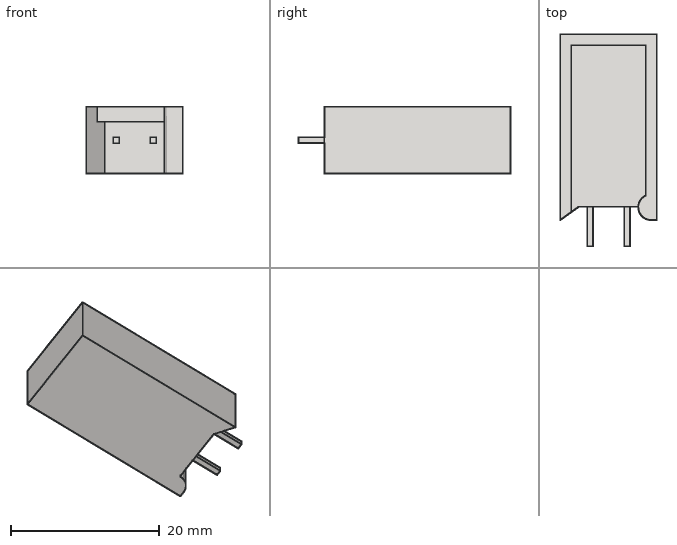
import cadquery as cq

total_length = 28.5
width = 13.0
height = 9.0
pin_length = 3.5
body_length = total_length - pin_length

wall = 1.5
pocket_depth = 2.0
front_recess = 1.8
bevel_width = 2.5
bead_radius = 1.75
bead_offset = 0.77

pin_size = 0.8
pin_pitch = 5.0
first_pin_inset = 4.02

left = -width / 2
right = width / 2
bead_x = right - bead_offset


def make_body():
    """Block with a recessed front face and a bevelled left lip."""
    return (
        cq.Workplane("XY")
        .moveTo(left, 0)
        .lineTo(left + bevel_width, front_recess)
        .lineTo(bead_x, front_recess)
        .lineTo(bead_x, 0)
        .lineTo(right, 0)
        .lineTo(right, body_length)
        .lineTo(left, body_length)
        .close()
        .extrude(height)
    )


def make_pocket():
    """Shallow top pocket, open at the front."""
    return (
        cq.Workplane("XY", origin=(0, 0, height - pocket_depth))
        .rect(width - 2 * wall, 2 * (body_length - wall))
        .extrude(pocket_depth)
    )


def make_bead():
    """Full-height rounded end of the right wall."""
    bead = cq.Workplane("XY").center(bead_x, bead_radius).circle(bead_radius).extrude(height)
    envelope = cq.Workplane("XY").rect(width, 2 * body_length).extrude(height)
    return bead.intersect(envelope)


def make_pin(x):
    """Square pin running forward from the recessed front face at mid height."""
    return (
        cq.Workplane("XZ", origin=(x, front_recess, height / 2))
        .rect(pin_size, pin_size)
        .extrude(front_recess + pin_length)
    )


result = make_body().cut(make_pocket()).union(make_bead())
for pin_index in range(2):
    result = result.union(make_pin(left + first_pin_inset + pin_index * pin_pitch))